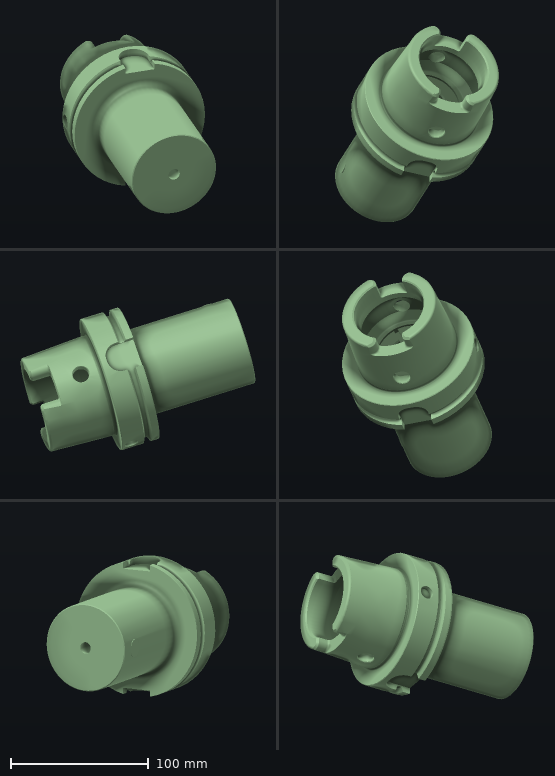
import cadquery as cq
import math

LENGTH = 157.9
NOSE_X = -LENGTH / 2
EDGE_SEARCH_MARGIN = 0.08

NOSE_RADIUS = 35.5
TAPER_END_RADIUS = 37.9
TAPER_END = 47.2
NOSE_ROUNDING = 2.0

RELIEF_RADIUS = 37.6
RELIEF_START = 48.0
RELIEF_FACE_RADIUS = 39.5
RELIEF_DEPTH = 0.24
RELIEF_FILLET = 0.8

FLANGE_START = 50.0
FLANGE_END = 78.6
FLANGE_RADIUS = 100.0 / 2
FLANGE_FRONT_CHAMFER = 0.5
FLANGE_BACK_CHAMFER = 1.0
FLANGE_BACK_DROP = 0.2
GROOVE_CENTRE = 70.0
GROOVE_TOP_WIDTH = 6.2
GROOVE_FLOOR_WIDTH = 3.0
GROOVE_FLOOR_RADIUS = 46.1
GROOVE_CORNER_FILLET = 0.6

SHANK_RADIUS = 32.2
SHANK_FILLET = 4.3
SHANK_CHAMFER = 0.6

BORE_RADIUS = 26.5
BORE_MOUTH_CHAMFER = 1.0
BORE_STRAIGHT_END = 20.0
CHAMBER_RADIUS = 31.3
CHAMBER_STRAIGHT_END = 40.3
CHAMBER_FLOOR_RADIUS = 25.6
CHAMBER_FLOOR_FILLET = 2.0
BORE_DEPTH = CHAMBER_STRAIGHT_END + CHAMBER_RADIUS - CHAMBER_FLOOR_RADIUS

RING_RADIUS = 22.0
RING_HOLE_RADIUS = 11.2
RING_HOLE_CHAMFER = 1.0
RING_THICKNESS = 9.5
RING_SETBACK = 1.6
RING_FRONT = BORE_DEPTH + RING_SETBACK
RING_BACK = RING_FRONT + RING_THICKNESS
RING_SLOT_WIDTH = 3.0
RING_SLOT_DEPTH = 3.0
RING_SLOT_ANGLE = 22.5

COOLANT_RADIUS = 4.3
COOLANT_CONE_RADIUS = 6.2
COOLANT_CONE_ANGLE = 120.0

SLOT_HALF_WIDTH = 10.0
SLOT_LIP_RADIUS = 5.0
SLOT_LIP_HEIGHT = 32.0
SLOT_BOTTOM = 19.0
SLOT_TOP = 44.2
SLOT_OUTER_HALF_WIDTH = 25.3
SLOT_EDGE = 1.6
UPPER_SLOT_DEPTH = 15.2
LOWER_SLOT_DEPTH = 10.0

CROSS_HOLE_X = 34.9
CROSS_HOLE_RADIUS = 6.0
CROSS_HOLE_CHAMFER = 0.5

NOTCH_START = 54.6
NOTCH_WIDTH = 22.1
NOTCH_CORNER_RADIUS = 10.0
NOTCH_FLOOR_HEIGHT = 44.0

POCKET_X = 57.0
POCKET_RADIUS = 5.0
POCKET_DEPTH = 4.6

PLUG_X = 141.8
PLUG_RADIUS = 6.6
PLUG_DEPTH = 9.5


def along_x(start):
    """Plane across the tool axis, its local x along Y and its local y along Z."""
    return cq.Workplane("YZ", origin=(NOSE_X + start, 0, 0))


def revolve(outline):
    """Turn a closed (distance, radius) outline about the tool axis."""
    return outline.close().revolve(360, (0, 0, 0), (1, 0, 0))


def near_x(centre, width):
    """Selector for round edges about the tool axis that lie within a band of the given width, ends included."""
    reach = width / 2 + EDGE_SEARCH_MARGIN
    return cq.selectors.BoxSelector(
        (NOSE_X + centre - reach, -FLANGE_RADIUS, -FLANGE_RADIUS),
        (NOSE_X + centre + reach, FLANGE_RADIUS, FLANGE_RADIUS),
    )


def profile():
    """Sketch plane whose local x is the distance from the nose end."""
    return cq.Workplane("XZ", origin=(NOSE_X, 0, 0))


def turned_body():
    groove_open = GROOVE_CENTRE - GROOVE_TOP_WIDTH / 2
    groove_close = GROOVE_CENTRE + GROOVE_TOP_WIDTH / 2
    floor_start = GROOVE_CENTRE - GROOVE_FLOOR_WIDTH / 2
    floor_end = GROOVE_CENTRE + GROOVE_FLOOR_WIDTH / 2
    arc_offset = SHANK_FILLET * (1 - math.sqrt(0.5))
    outline = (
        profile()
        .lineTo(0, NOSE_RADIUS)
        .lineTo(TAPER_END, TAPER_END_RADIUS)
        .lineTo(RELIEF_START, RELIEF_RADIUS)
        .lineTo(FLANGE_START + RELIEF_DEPTH, RELIEF_RADIUS)
        .lineTo(FLANGE_START, RELIEF_FACE_RADIUS)
        .lineTo(FLANGE_START, FLANGE_RADIUS - FLANGE_FRONT_CHAMFER)
        .lineTo(FLANGE_START + FLANGE_FRONT_CHAMFER, FLANGE_RADIUS)
        .lineTo(groove_open, FLANGE_RADIUS)
        .lineTo(floor_start, GROOVE_FLOOR_RADIUS)
        .lineTo(floor_end, GROOVE_FLOOR_RADIUS)
        .lineTo(groove_close, FLANGE_RADIUS)
        .lineTo(FLANGE_END - FLANGE_BACK_CHAMFER, FLANGE_RADIUS)
        .lineTo(FLANGE_END, FLANGE_RADIUS - FLANGE_BACK_DROP)
        .lineTo(FLANGE_END, SHANK_RADIUS + SHANK_FILLET)
        .threePointArc(
            (FLANGE_END + arc_offset, SHANK_RADIUS + arc_offset),
            (FLANGE_END + SHANK_FILLET, SHANK_RADIUS),
        )
        .lineTo(LENGTH - SHANK_CHAMFER, SHANK_RADIUS)
        .lineTo(LENGTH, SHANK_RADIUS - SHANK_CHAMFER)
        .lineTo(LENGTH, 0)
    )
    body = revolve(outline).faces("<X").edges().fillet(NOSE_ROUNDING)
    body = body.edges(near_x(GROOVE_CENTRE, GROOVE_FLOOR_WIDTH)).fillet(GROOVE_CORNER_FILLET)
    return body.edges(near_x(FLANGE_START + RELIEF_DEPTH, 0)).fillet(RELIEF_FILLET)


def nose_bore():
    """Bore with a chamfered mouth that opens into a wider chamber with a conical, rounded floor edge."""
    outline = (
        profile()
        .lineTo(0, BORE_RADIUS + BORE_MOUTH_CHAMFER)
        .lineTo(BORE_MOUTH_CHAMFER, BORE_RADIUS)
        .lineTo(BORE_STRAIGHT_END, BORE_RADIUS)
        .lineTo(BORE_STRAIGHT_END, CHAMBER_RADIUS)
        .lineTo(CHAMBER_STRAIGHT_END, CHAMBER_RADIUS)
        .lineTo(BORE_DEPTH, CHAMBER_FLOOR_RADIUS)
        .lineTo(BORE_DEPTH, 0)
    )
    return revolve(outline).faces(">X").edges().fillet(CHAMBER_FLOOR_FILLET)


def coolant_hole():
    """Hole from the ring recess to the shank end, with a cone at its mouth."""
    cone_depth = (COOLANT_CONE_RADIUS - COOLANT_RADIUS) / math.tan(math.radians(COOLANT_CONE_ANGLE / 2))
    outline = (
        profile()
        .moveTo(RING_BACK, 0)
        .lineTo(RING_BACK, COOLANT_CONE_RADIUS)
        .lineTo(RING_BACK + cone_depth, COOLANT_RADIUS)
        .lineTo(LENGTH, COOLANT_RADIUS)
        .lineTo(LENGTH, 0)
    )
    return revolve(outline)


def slot_outline():
    """Slot section at the nose end: upright walls that round outwards into a level lip."""
    wall = SLOT_HALF_WIDTH
    lip = SLOT_LIP_HEIGHT
    outer = SLOT_OUTER_HALF_WIDTH
    diagonal = SLOT_LIP_RADIUS * (1 - math.sqrt(0.5))
    return (
        along_x(0)
        .moveTo(-wall, SLOT_BOTTOM)
        .lineTo(-wall, lip - SLOT_LIP_RADIUS)
        .threePointArc((-wall - diagonal, lip - diagonal), (-wall - SLOT_LIP_RADIUS, lip))
        .lineTo(-outer, lip)
        .lineTo(-outer, SLOT_TOP)
        .lineTo(outer, SLOT_TOP)
        .lineTo(outer, lip)
        .lineTo(wall + SLOT_LIP_RADIUS, lip)
        .threePointArc((wall + diagonal, lip - diagonal), (wall, lip - SLOT_LIP_RADIUS))
        .lineTo(wall, SLOT_BOTTOM)
        .close()
    )


def drive_slot(depth):
    """Upper drive slot with a rounded floor edge and a chamfered nose edge."""
    slot = slot_outline().extrude(depth).faces(">X").edges().fillet(SLOT_EDGE)
    flare = slot_outline().offset2D(SLOT_EDGE).extrude(SLOT_EDGE, taper=45)
    return slot.union(flare)


def cross_hole():
    span = TAPER_END_RADIUS
    return cq.Workplane("XY", origin=(NOSE_X + CROSS_HOLE_X, 0, -span)).circle(CROSS_HOLE_RADIUS).extrude(2 * span)


def cross_hole_rims():
    """Selector for the rims of the cross hole on the outside of the nose."""
    side = 2 * CROSS_HOLE_RADIUS
    near, far = CHAMBER_RADIUS, FLANGE_RADIUS
    x = NOSE_X + CROSS_HOLE_X
    upper = cq.selectors.BoxSelector((x - side, -side, near), (x + side, side, far))
    lower = cq.selectors.BoxSelector((x - side, -side, -far), (x + side, side, -near))
    return upper + lower


def flange_notch():
    """Flat-floored notch in the top of the flange, open at the back."""
    length = FLANGE_END - NOTCH_START
    height = FLANGE_RADIUS - NOTCH_FLOOR_HEIGHT
    block = cq.Workplane("XY").box(length, NOTCH_WIDTH, height, centered=(False, True, False))
    block = block.edges("|Z and <X").fillet(NOTCH_CORNER_RADIUS)
    return block.translate((NOSE_X + NOTCH_START, 0, NOTCH_FLOOR_HEIGHT))


def side_pocket():
    floor_y = -FLANGE_RADIUS + POCKET_DEPTH
    return cq.Workplane("XZ", origin=(NOSE_X + POCKET_X, floor_y, 0)).circle(POCKET_RADIUS).extrude(FLANGE_RADIUS)


def make_plug():
    """Round plug whose flat top is level with the highest line of the shank."""
    return (
        cq.Workplane("XZ", origin=(NOSE_X + PLUG_X, SHANK_RADIUS - PLUG_DEPTH, 0))
        .circle(PLUG_RADIUS)
        .extrude(-PLUG_DEPTH)
    )


def upside_down(shape):
    return shape.rotate((0, 0, 0), (1, 0, 0), 180)


def make_holder():
    body = turned_body().cut(nose_bore())
    body = body.cut(along_x(BORE_DEPTH).circle(RING_RADIUS).extrude(RING_BACK - BORE_DEPTH))
    body = body.cut(coolant_hole())
    body = body.cut(drive_slot(UPPER_SLOT_DEPTH)).cut(upside_down(drive_slot(LOWER_SLOT_DEPTH)))
    body = body.cut(cross_hole()).edges(cross_hole_rims()).chamfer(CROSS_HOLE_CHAMFER)
    body = body.cut(flange_notch()).cut(upside_down(flange_notch()))
    body = body.cut(side_pocket())
    return body.cut(make_plug())


def make_ring():
    ring = along_x(RING_FRONT).circle(RING_RADIUS).circle(RING_HOLE_RADIUS).extrude(RING_THICKNESS)
    ring = ring.faces("<X").edges("%CIRCLE").edges(cq.selectors.RadiusNthSelector(0)).chamfer(RING_HOLE_CHAMFER)
    slot = along_x(RING_FRONT).rect(RING_SLOT_WIDTH, 2 * RING_RADIUS).extrude(RING_SLOT_DEPTH)
    return ring.cut(slot.rotate((0, 0, 0), (1, 0, 0), -RING_SLOT_ANGLE))


holder = make_holder()
ring = make_ring()
plug = make_plug()

result = cq.Compound.makeCompound([holder.val(), ring.val(), plug.val()])